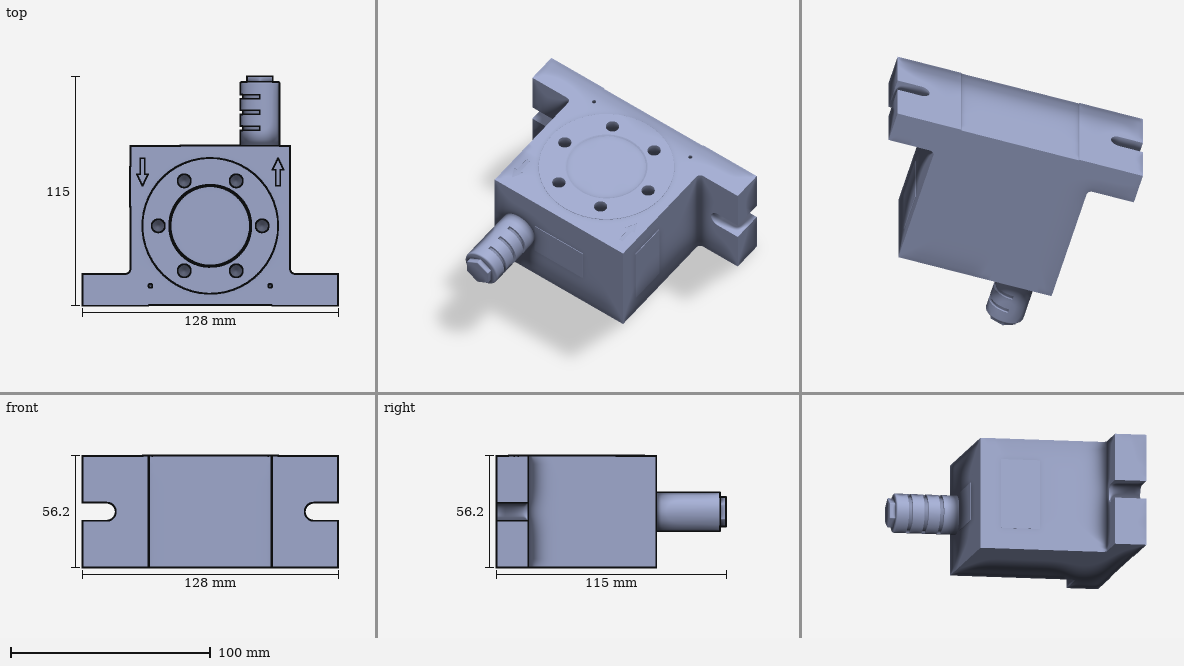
import cadquery as cq
import math

flange_length = 128.0
flange_thickness = 16.0
body_width = 80.0
body_depth = 80.0
corner_radius = 2.4
overall_height = 56.2
cover_height = 0.3
housing_height = overall_height - cover_height
mid_z = housing_height / 2

relief_half_width = 31.0
relief_depth = 0.4
relief_slope = 0.4

slot_width = 9.0
slot_length = 16.6

cover_y = body_depth / 2
cover_radius = 34.0
cover_chamfer = 0.1
dish_radius = 20.6
dish_floor_radius = 19.8
dish_depth = 0.4

bolt_count = 6
bolt_circle_radius = 26.0
bolt_hole_radius = 3.3
bolt_hole_depth = 7.7
pin_hole_x = 30.0
pin_hole_y = 10.0
pin_hole_radius = 1.0
pin_hole_depth = 3.8
drill_half_angle = 59.0

arrow_x = 33.9
arrow_y = 67.0
arrow_length = 14.0
arrow_head_length = 5.9
arrow_head_width = 5.6
arrow_shaft_width = 2.2
arrow_depth = 0.1

label_thickness = 0.3
side_label_width = 20.0
side_label_height = 35.0
side_label_y = 59.6
label_corner_radius = 0.5

silencer_x = 24.8
barrel_radius = 9.9
barrel_length = 32.0
barrel_fillet = 0.8
groove_count = 3
groove_first = 7.8
groove_pitch = 8.0
groove_width = 2.0
groove_floor_radius = 8.6
cut_overshoot = 1.3
hex_across_flats = 13.0
hex_length = 3.0
hex_fillet = 0.4

rear_label_width = 2 * (silencer_x - barrel_radius)
rear_label_height = 19.2


def drilled_hole(x, y, top_z, radius, depth):
    """Cutter for a blind hole along -Z that ends in a drill cone."""
    cone_depth = radius / math.tan(math.radians(drill_half_angle))
    profile = [(0, 0), (radius, 0), (radius, -depth), (0, -depth - cone_depth)]
    drill = cq.Workplane("XZ").polyline(profile).close().revolve(360, (0, 0), (0, 1))
    return drill.translate((x, y, top_z))


def make_block():
    """Square body with a flange to either side."""
    flanges = cq.Workplane("XY").box(
        flange_length, flange_thickness, housing_height, centered=(True, False, False)
    )
    body = cq.Workplane("XY").box(body_width, body_depth, housing_height, centered=(True, False, False))
    block = flanges.union(body)
    for side in (-1, 1):
        corner = cq.selectors.NearestToPointSelector((side * body_width / 2, flange_thickness, mid_z))
        block = block.edges("|Z").edges(corner).fillet(corner_radius)
    return block


def cut_relief(housing):
    floor_half_width = relief_half_width - relief_slope
    section = [
        (-relief_half_width, 0),
        (-floor_half_width, relief_depth),
        (floor_half_width, relief_depth),
        (relief_half_width, 0),
    ]
    return housing.cut(cq.Workplane("XY").polyline(section).close().extrude(housing_height))


def cut_slots(housing):
    for side in (-1, 1):
        slot = (
            cq.Workplane("XZ")
            .center(side * flange_length / 2, mid_z)
            .slot2D(2 * slot_length, slot_width)
            .extrude(-flange_thickness)
        )
        housing = housing.cut(slot)
    return housing


def add_cover(housing):
    """Raised cover disc with a shallow tapered dish in its middle."""
    top_z = housing_height + cover_height
    disc = (
        cq.Workplane("XY", origin=(0, cover_y, housing_height))
        .circle(cover_radius)
        .extrude(cover_height)
        .faces(">Z")
        .chamfer(cover_chamfer)
    )
    dish = (
        cq.Workplane("XY", origin=(0, cover_y, top_z - dish_depth))
        .circle(dish_floor_radius)
        .workplane(offset=dish_depth)
        .circle(dish_radius)
        .loft()
    )
    housing = housing.union(disc).cut(dish)
    for i in range(bolt_count):
        angle = 2 * math.pi * i / bolt_count
        x = bolt_circle_radius * math.cos(angle)
        y = cover_y + bolt_circle_radius * math.sin(angle)
        housing = housing.cut(drilled_hole(x, y, top_z, bolt_hole_radius, bolt_hole_depth))
    return housing


def cut_pin_holes(housing):
    for x in (-pin_hole_x, pin_hole_x):
        housing = housing.cut(drilled_hole(x, pin_hole_y, housing_height, pin_hole_radius, pin_hole_depth))
    return housing


def cut_arrows(housing):
    """Left arrow points to -Y, right arrow to +Y."""
    tip = arrow_length / 2
    neck = tip - arrow_head_length
    half_shaft = arrow_shaft_width / 2
    half_head = arrow_head_width / 2
    outline = [
        (0, tip),
        (half_head, neck),
        (half_shaft, neck),
        (half_shaft, -tip),
        (-half_shaft, -tip),
        (-half_shaft, neck),
        (-half_head, neck),
    ]
    arrow = cq.Workplane("XY").polyline(outline).close().extrude(-arrow_depth)
    for side, turn in ((-1, 180), (1, 0)):
        placed = arrow.rotate((0, 0, 0), (0, 0, 1), turn).translate(
            (side * arrow_x, arrow_y, housing_height)
        )
        housing = housing.cut(placed)
    return housing


def add_labels(housing):
    side_label = (
        cq.Workplane("XY")
        .box(label_thickness, side_label_width, side_label_height)
        .edges("|X")
        .fillet(label_corner_radius)
        .translate((-(body_width + label_thickness) / 2, side_label_y, mid_z))
    )
    rear_label = (
        cq.Workplane("XY")
        .box(rear_label_width, label_thickness, rear_label_height)
        .edges("|Y")
        .fillet(label_corner_radius)
        .translate((0, body_depth + label_thickness / 2, mid_z))
    )
    return housing.union(side_label).union(rear_label)


def make_housing():
    housing = make_block()
    housing = cut_relief(housing)
    housing = cut_slots(housing)
    housing = add_cover(housing)
    housing = cut_pin_holes(housing)
    housing = cut_arrows(housing)
    return add_labels(housing)


def make_silencer():
    """Barrel with half-round grooves on its -X side and a hexagonal end."""
    barrel = (
        cq.Workplane("XY")
        .circle(barrel_radius)
        .extrude(barrel_length)
        .faces(">Z")
        .edges()
        .fillet(barrel_fillet)
    )
    cutter_radius = barrel_radius + cut_overshoot
    for i in range(groove_count):
        groove = (
            cq.Workplane("XY", origin=(0, 0, groove_first + i * groove_pitch))
            .moveTo(0, cutter_radius)
            .threePointArc((-cutter_radius, 0), (0, -cutter_radius))
            .lineTo(0, -groove_floor_radius)
            .threePointArc((-groove_floor_radius, 0), (0, groove_floor_radius))
            .close()
            .extrude(groove_width)
        )
        barrel = barrel.cut(groove)
    hexagon = (
        cq.Workplane("XY", origin=(0, 0, barrel_length))
        .polygon(6, hex_across_flats, circumscribed=True)
        .extrude(hex_length)
        .edges()
        .fillet(hex_fillet)
    )
    silencer = barrel.union(hexagon)
    return silencer.rotate((0, 0, 0), (1, 0, 0), -90).translate((silencer_x, body_depth, mid_z))


housing = make_housing()
silencer = make_silencer()

result = cq.Compound.makeCompound([housing.val(), silencer.val()])